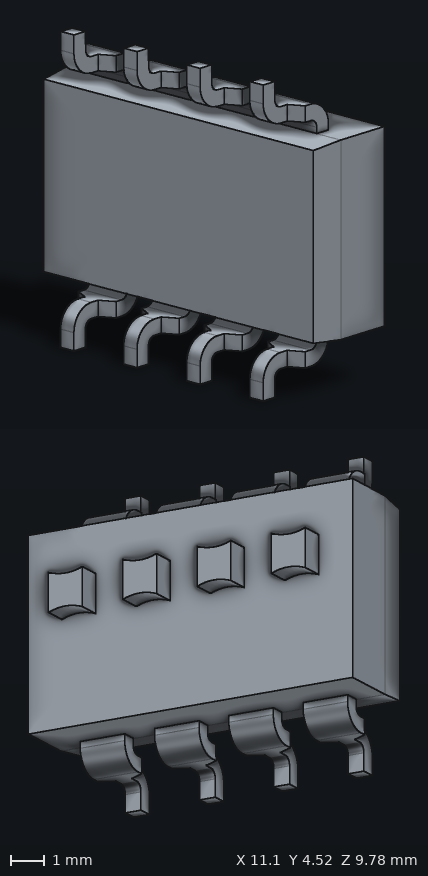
import cadquery as cq


body_length = 11.1
body_height = 6.18
straight_depth = 1.91
taper_depth = 1.09
taper_inset = 0.11

position_count = 4
pitch = 2.54

lead_thickness = 0.51
lead_reach = 1.8
lead_wide = 1.52
lead_narrow = 0.54
lead_overhang = 0.72
bend_inner_radius = 0.25
bend_outer_radius = bend_inner_radius + lead_thickness
root_length = 0.2
neck_start = 0.5
neck_end = 0.75

slider_width = 1.15
slider_height = 1.24
slider_projection = 0.8
slider_offset = 0.91
slider_dish = 0.11

position_xs = [(i - (position_count - 1) / 2) * pitch for i in range(position_count)]


def make_housing():
    """Block with a straight back half and a front half that tapers on all four sides."""
    back_half = cq.Workplane("XY").box(
        body_length, straight_depth, body_height, centered=(True, False, True)
    )
    front_half = (
        cq.Workplane("XZ")
        .rect(body_length, body_height)
        .workplane(offset=taper_depth)
        .rect(body_length - 2 * taper_inset, body_height - 2 * taper_inset)
        .loft(ruled=True)
    )
    return back_half.union(front_half)


def make_lead():
    """Upper lead at X = 0: a bent strip that narrows to a thin tail along its shelf."""
    root_z = body_height / 2
    bend_z = root_z + root_length
    shelf_z = bend_z + bend_inner_radius
    shelf_top_z = shelf_z + lead_thickness
    tail_bend_z = shelf_top_z + bend_inner_radius
    tip_z = root_z + lead_reach

    tail_front_y = -(taper_depth + lead_overhang)
    tail_back_y = tail_front_y + lead_thickness
    root_bend_y = -bend_inner_radius
    tail_bend_y = tail_back_y + bend_inner_radius

    strip = (
        cq.Workplane("YZ")
        .moveTo(0, root_z)
        .lineTo(0, bend_z)
        .radiusArc((root_bend_y, shelf_z), -bend_inner_radius)
        .lineTo(tail_bend_y, shelf_z)
        .radiusArc((tail_front_y, tail_bend_z), bend_outer_radius)
        .lineTo(tail_front_y, tip_z)
        .lineTo(tail_back_y, tip_z)
        .lineTo(tail_back_y, tail_bend_z)
        .radiusArc((tail_bend_y, shelf_top_z), -bend_inner_radius)
        .lineTo(root_bend_y, shelf_top_z)
        .radiusArc((lead_thickness, bend_z), bend_outer_radius)
        .lineTo(lead_thickness, root_z)
        .close()
        .extrude(lead_wide / 2, both=True)
    )
    plan = (
        cq.Workplane("XY", origin=(0, 0, root_z))
        .moveTo(-lead_wide / 2, lead_thickness)
        .lineTo(-lead_wide / 2, -neck_start)
        .lineTo(-lead_narrow / 2, -neck_end)
        .lineTo(-lead_narrow / 2, tail_front_y)
        .lineTo(lead_narrow / 2, tail_front_y)
        .lineTo(lead_narrow / 2, -neck_end)
        .lineTo(lead_wide / 2, -neck_start)
        .lineTo(lead_wide / 2, lead_thickness)
        .close()
        .extrude(lead_reach)
    )
    return strip.intersect(plan)


def make_slider():
    """Slider at X = 0: a flat-sided block with a shallow hollow across its upper and lower ends."""
    top_z = slider_offset + slider_height / 2
    bottom_z = slider_offset - slider_height / 2
    return (
        cq.Workplane("XZ", origin=(0, straight_depth, 0))
        .moveTo(-slider_width / 2, bottom_z)
        .lineTo(-slider_width / 2, top_z)
        .threePointArc((0, top_z - slider_dish), (slider_width / 2, top_z))
        .lineTo(slider_width / 2, bottom_z)
        .threePointArc((0, bottom_z + slider_dish), (-slider_width / 2, bottom_z))
        .close()
        .extrude(-slider_projection)
    )


result = make_housing()
upper_lead = make_lead()
lower_lead = upper_lead.mirror("XY")
slider = make_slider()
for x in position_xs:
    for feature in (upper_lead, lower_lead, slider):
        result = result.union(feature.translate((x, 0, 0)))